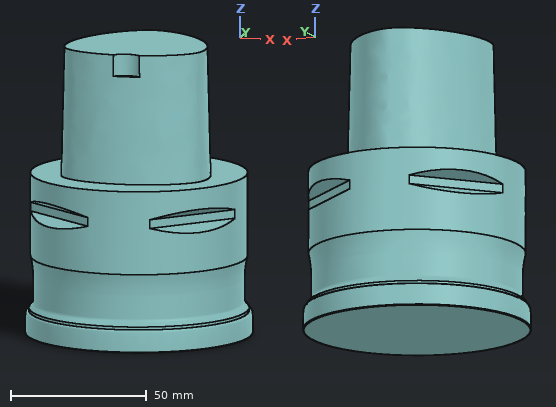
import cadquery as cq
import math

TOTAL_HEIGHT = 108.0
SHANK_LENGTH = 48.1
SHOULDER_Z = TOTAL_HEIGHT - SHANK_LENGTH

SHANK_BASE_RADIUS = 27.5
TAPER = 1 / 20
SHANK_TOP_RADIUS = SHANK_BASE_RADIUS - SHANK_LENGTH * TAPER / 2
LOBE_HEIGHT = 2.0
LOBE_COUNT = 3
LOBE_DIRECTION = 90
OUTLINE_POINTS = 48

KEYWAY_RADIUS = 6.6
KEYWAY_INNER_Y = -21.9
KEYWAY_DEPTH = 8.0

FLANGE_RADIUS = 80.0 / 2
FLANGE_BOTTOM_Z = 28.6
FLANGE_CHAMFER_HEIGHT = 0.3
FLANGE_CHAMFER_WIDTH = 0.1

GROOVE_COUNT = 4
GROOVE_FIRST_ANGLE = 45
GROOVE_Z = 47.8
GROOVE_FLOOR_DISTANCE = 35.3
GROOVE_FLOOR_HEIGHT = 3.2
GROOVE_FLANK_ANGLE = 30

NECK_RADIUS = 78.0 / 2
NECK_TOP_Z = 21.0
NECK_BOTTOM_Z = 12.1
FLARE_HEIGHT = FLANGE_BOTTOM_Z - NECK_TOP_Z

COLLAR_RADIUS = 40.6
COLLAR_TOP_Z = 9.5
CONE_TOP_RADIUS = 39.3
CONE_TOP_Z = 11.1

RING_RADIUS = 84.0 / 2
RING_HEIGHT = 8.4
RING_BOTTOM_CHAMFER = 0.3


def lobed_outline(mean_radius):
    """Points of a constant-width polygon, traced by the direction of its normal."""
    points = []
    for i in range(OUTLINE_POINTS):
        angle = 2 * math.pi * i / OUTLINE_POINTS
        lobe_angle = LOBE_COUNT * (angle - math.radians(LOBE_DIRECTION))
        support = mean_radius + LOBE_HEIGHT * math.cos(lobe_angle)
        slope = -LOBE_COUNT * LOBE_HEIGHT * math.sin(lobe_angle)
        x = support * math.cos(angle) - slope * math.sin(angle)
        y = support * math.sin(angle) + slope * math.cos(angle)
        points.append((x, y))
    return points


def make_shank():
    return (
        cq.Workplane("XY", origin=(0, 0, SHOULDER_Z))
        .spline(lobed_outline(SHANK_BASE_RADIUS), periodic=True)
        .close()
        .workplane(offset=SHANK_LENGTH)
        .spline(lobed_outline(SHANK_TOP_RADIUS), periodic=True)
        .close()
        .loft(ruled=True)
    )


def make_keyway_cutter():
    return (
        cq.Workplane("XY", origin=(0, KEYWAY_INNER_Y - KEYWAY_RADIUS, TOTAL_HEIGHT))
        .circle(KEYWAY_RADIUS)
        .extrude(-KEYWAY_DEPTH)
    )


def make_groove_cutter(angle):
    floor_half = GROOVE_FLOOR_HEIGHT / 2
    depth = FLANGE_RADIUS - GROOVE_FLOOR_DISTANCE
    mouth_half = floor_half + depth * math.tan(math.radians(GROOVE_FLANK_ANGLE))
    return (
        cq.Workplane("XZ")
        .moveTo(GROOVE_FLOOR_DISTANCE, GROOVE_Z - floor_half)
        .lineTo(FLANGE_RADIUS, GROOVE_Z - mouth_half)
        .lineTo(FLANGE_RADIUS, GROOVE_Z + mouth_half)
        .lineTo(GROOVE_FLOOR_DISTANCE, GROOVE_Z + floor_half)
        .close()
        .extrude(FLANGE_RADIUS, both=True)
        .rotate((0, 0, 0), (0, 0, 1), angle)
    )


def make_turned_body():
    """Flange, flared neck and collar, revolved about the vertical axis."""
    flare_top_radius = FLANGE_RADIUS - FLANGE_CHAMFER_WIDTH
    flare_width = flare_top_radius - NECK_RADIUS
    flare_radius = (flare_width**2 + FLARE_HEIGHT**2) / (2 * flare_width)
    half_sweep = math.asin(FLARE_HEIGHT / flare_radius) / 2
    flare_middle = (
        NECK_RADIUS + flare_radius * (1 - math.cos(half_sweep)),
        NECK_TOP_Z + flare_radius * math.sin(half_sweep),
    )
    return (
        cq.Workplane("XZ")
        .moveTo(0, RING_HEIGHT)
        .lineTo(COLLAR_RADIUS, RING_HEIGHT)
        .lineTo(COLLAR_RADIUS, COLLAR_TOP_Z)
        .lineTo(CONE_TOP_RADIUS, CONE_TOP_Z)
        .tangentArcPoint((NECK_RADIUS, NECK_BOTTOM_Z), relative=False)
        .lineTo(NECK_RADIUS, NECK_TOP_Z)
        .threePointArc(flare_middle, (flare_top_radius, FLANGE_BOTTOM_Z))
        .lineTo(FLANGE_RADIUS, FLANGE_BOTTOM_Z + FLANGE_CHAMFER_HEIGHT)
        .lineTo(FLANGE_RADIUS, SHOULDER_Z)
        .lineTo(0, SHOULDER_Z)
        .close()
        .revolve(360, (0, 0, 0), (0, 1, 0))
    )


def make_holder():
    holder = make_turned_body().union(make_shank()).cut(make_keyway_cutter())
    for i in range(GROOVE_COUNT):
        holder = holder.cut(make_groove_cutter(GROOVE_FIRST_ANGLE + i * 360 / GROOVE_COUNT))
    return holder


def make_ring():
    """Ring whose outer wall curves smoothly from the collar edge to the bottom chamfer."""
    wall_bottom = (RING_RADIUS, RING_BOTTOM_CHAMFER)
    wall_corner = (RING_RADIUS, RING_HEIGHT)
    wall_top = (COLLAR_RADIUS, RING_HEIGHT)
    return (
        cq.Workplane("XZ")
        .lineTo(RING_RADIUS - RING_BOTTOM_CHAMFER, 0)
        .lineTo(*wall_bottom)
        .bezier([wall_bottom, wall_corner, wall_corner, wall_top])
        .lineTo(0, RING_HEIGHT)
        .close()
        .revolve(360, (0, 0, 0), (0, 1, 0))
    )


holder = make_holder()
ring = make_ring()

result = cq.Compound.makeCompound([holder.val(), ring.val()])